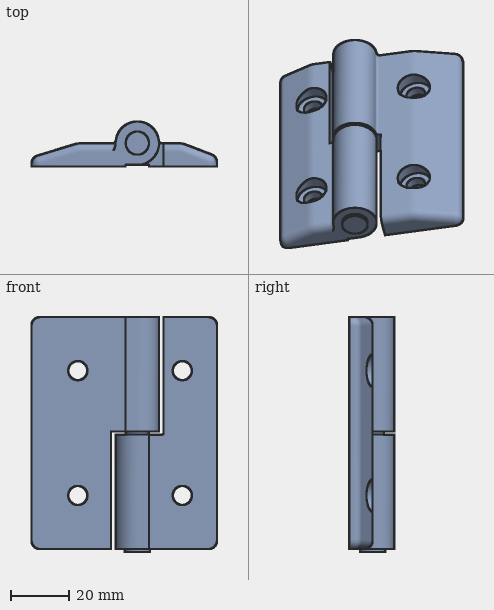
import cadquery as cq
import math

height = 80.0
mount_face_y = 0.0

knuckle_radius = 7.5
knuckle_gap = 1.0
knuckle_length = (height - knuckle_gap) / 2
knuckle_floor_y = 0.6
axis_y = knuckle_floor_y + knuckle_radius

pin_radius = 4.0
pin_head_radius = 4.4
pin_head_height = 1.0

plate_top_y = axis_y
plate_inner_x = 9.0
edge_round = 3.0
root_fillet = 1.0
notch_fillet = 0.5
left_reach = 36.5
right_reach = 27.5
left_edge_height = 3.2
right_edge_height = 3.5
left_crease_radius = 9.0
right_crease_radius = 7.0

left_hole_x = 20.5
right_hole_x = 15.5
hole_spacing = 43.0
hole_diameter = 6.5
counterbore_diameter = 11.0
counterbore_floor_y = 3.7

select_margin = 0.1


def make_plate(reach, crease_x, edge_height, crease_radius):
    """Full-height plate on the -X side, sloping down from the crease to its outer edge."""
    plate = (
        cq.Workplane("XY")
        .moveTo(0, mount_face_y)
        .lineTo(-reach, mount_face_y)
        .lineTo(-reach, edge_height)
        .lineTo(-crease_x, plate_top_y)
        .lineTo(0, plate_top_y)
        .close()
        .extrude(height)
    )
    crease = cq.selectors.NearestToPointSelector((-crease_x, plate_top_y, height / 2))
    plate = plate.edges(crease).fillet(crease_radius)
    rim = cq.selectors.BoxSelector(
        (-reach - select_margin, mount_face_y + select_margin, -select_margin),
        (-select_margin, plate_top_y + select_margin, height + select_margin),
    )
    return plate.faces("<X or <Z or >Z").edges(rim).fillet(edge_round)


def make_knuckle():
    """Upper knuckle: a cylinder on a block that fills the corner between it and the plate."""
    quarter_middle = math.radians(45)
    return (
        cq.Workplane("XY", origin=(0, 0, height - knuckle_length))
        .moveTo(-knuckle_radius, mount_face_y)
        .lineTo(-knuckle_radius, axis_y)
        .threePointArc((0, axis_y + knuckle_radius), (knuckle_radius, axis_y))
        .threePointArc(
            (knuckle_radius * math.cos(quarter_middle), axis_y - knuckle_radius * math.sin(quarter_middle)),
            (0, knuckle_floor_y),
        )
        .lineTo(-pin_radius, knuckle_floor_y)
        .lineTo(-pin_radius, mount_face_y)
        .close()
        .extrude(knuckle_length)
    )


def box_between(corner, opposite):
    """Box spanning two opposite corners."""
    size = [b - a for a, b in zip(corner, opposite)]
    return cq.Workplane("XY", origin=corner).box(*size, centered=False)


def cut_screw_holes(leaf, hole_x):
    """Two through holes along Y, counterbored from the +Y face."""
    for side in (-1, 1):
        hole_z = (height + side * hole_spacing) / 2
        plane = cq.Workplane("XZ", origin=(-hole_x, 0, hole_z))
        bore = plane.circle(hole_diameter / 2).extrude(-plate_top_y)
        counterbore = (
            plane.workplane(offset=-counterbore_floor_y)
            .circle(counterbore_diameter / 2)
            .extrude(counterbore_floor_y - plate_top_y)
        )
        leaf = leaf.cut(bore).cut(counterbore)
    return leaf


def make_leaf(reach, hole_x, edge_height, crease_radius):
    """Leaf with its plate on the -X side and its knuckle in the upper half."""
    plate = make_plate(reach, hole_x, edge_height, crease_radius)
    knuckle_side = box_between(
        (-knuckle_radius, mount_face_y, 0), (0, plate_top_y, height)
    )
    clearance = box_between(
        (-plate_inner_x, mount_face_y, 0),
        (0, plate_top_y, height - knuckle_length),
    )
    leaf = plate.cut(knuckle_side).cut(clearance).union(make_knuckle())

    root_region = cq.selectors.BoxSelector(
        (-knuckle_radius - select_margin, plate_top_y - select_margin, height - knuckle_length),
        (-knuckle_radius + select_margin, plate_top_y + select_margin, height - edge_round),
    )
    leaf = leaf.edges(root_region).fillet(root_fillet)

    pin_hole = cq.Workplane("XY").center(0, axis_y).circle(pin_radius).extrude(height)
    return cut_screw_holes(leaf.cut(pin_hole), hole_x)


left_leaf = make_leaf(left_reach, left_hole_x, left_edge_height, left_crease_radius)

right_leaf = make_leaf(right_reach, right_hole_x, right_edge_height, right_crease_radius)
notch_corner = cq.selectors.NearestToPointSelector(
    (-plate_inner_x, plate_top_y / 2, height - knuckle_length)
)
right_leaf = right_leaf.edges("|Y").edges(notch_corner).fillet(notch_fillet)
right_leaf = right_leaf.rotate((0, 0, height / 2), (0, 1, height / 2), 180)

pin = (
    cq.Workplane("XY", origin=(0, axis_y, 0))
    .circle(pin_radius)
    .extrude(height)
    .union(
        cq.Workplane("XY", origin=(0, axis_y, -pin_head_height))
        .circle(pin_head_radius)
        .extrude(pin_head_height)
    )
)

result = cq.Compound.makeCompound([left_leaf.val(), right_leaf.val(), pin.val()])